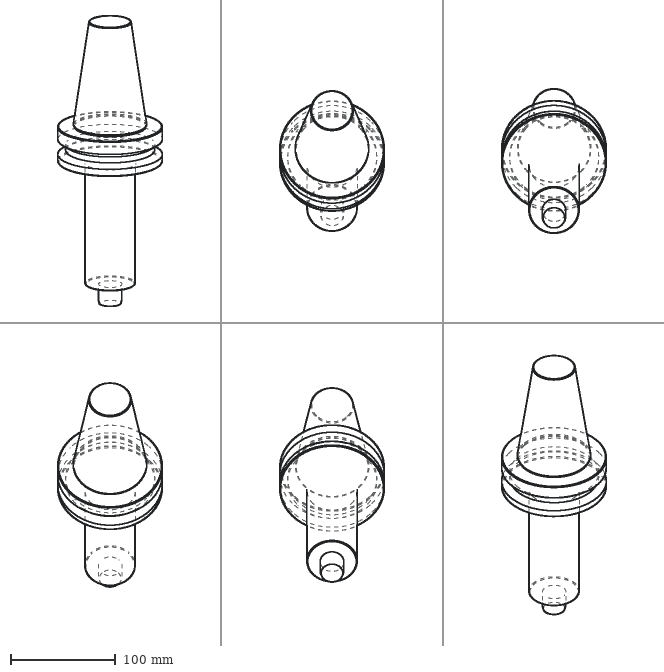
import cadquery as cq

total_height = 280.8
flange_radius = 100.0 / 2
groove_radius = 85.0 / 2
edge_chamfer = 0.8

pin_radius = 11.2
pin_tip_radius = 10.5
pin_tip_height = 3.5
shank_bottom = 19.5
shank_radius = 48.0 / 2
neck_fillet = 3.0

flange_bottom = 141.2
lower_rim_top = 148.5
groove_floor_bottom = 152.8
groove_floor_top = 158.7
upper_rim_bottom = 163.5
flange_top = 176.3

taper_ratio = 7 / 24
taper_bottom = 178.3
taper_bottom_radius = 35.0
relief_radius = 34.3
relief_top = taper_bottom - (taper_bottom_radius - relief_radius)
taper_top = total_height - edge_chamfer
taper_top_radius = taper_bottom_radius - (taper_top - taper_bottom) * taper_ratio / 2


def make_shank():
    """Half-profile of the pin and shank, revolved about Z."""
    profile = (
        cq.Workplane("XZ")
        .lineTo(pin_tip_radius, 0)
        .lineTo(pin_radius, pin_tip_height)
        .lineTo(pin_radius, shank_bottom)
        .lineTo(shank_radius - edge_chamfer, shank_bottom)
        .lineTo(shank_radius, shank_bottom + edge_chamfer)
        .lineTo(shank_radius, flange_bottom - neck_fillet)
        .radiusArc((shank_radius + neck_fillet, flange_bottom), neck_fillet)
        .lineTo(0, flange_bottom)
        .close()
    )
    return profile.revolve(360, (0, 0, 0), (0, 1, 0))


def make_flange():
    """Half-profile of the grooved flange, revolved about Z."""
    profile = (
        cq.Workplane("XZ")
        .moveTo(0, flange_bottom)
        .lineTo(flange_radius - edge_chamfer, flange_bottom)
        .lineTo(flange_radius, flange_bottom + edge_chamfer)
        .lineTo(flange_radius, lower_rim_top)
        .lineTo(groove_radius, groove_floor_bottom)
        .lineTo(groove_radius, groove_floor_top)
        .lineTo(flange_radius, upper_rim_bottom)
        .lineTo(flange_radius, flange_top - edge_chamfer)
        .lineTo(flange_radius - edge_chamfer, flange_top)
        .lineTo(0, flange_top)
        .close()
    )
    return profile.revolve(360, (0, 0, 0), (0, 1, 0))


def make_taper():
    """Half-profile of the relief and taper, revolved about Z."""
    profile = (
        cq.Workplane("XZ")
        .moveTo(0, flange_top)
        .lineTo(relief_radius, flange_top)
        .lineTo(relief_radius, relief_top)
        .lineTo(taper_bottom_radius, taper_bottom)
        .lineTo(taper_top_radius, taper_top)
        .lineTo(taper_top_radius - edge_chamfer, total_height)
        .lineTo(0, total_height)
        .close()
    )
    return profile.revolve(360, (0, 0, 0), (0, 1, 0))


result = make_shank().union(make_flange()).union(make_taper())